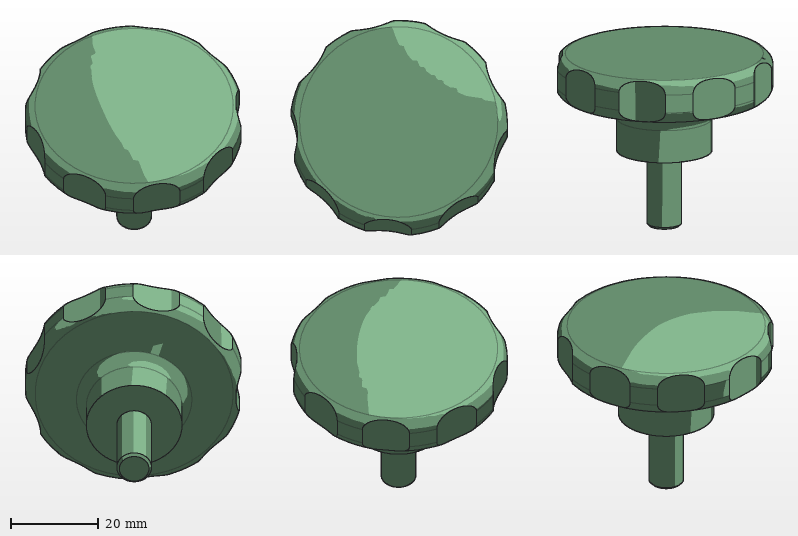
import cadquery as cq
import math

rim_radius = 25.0
total_head_height = 26.0
rim_band_bottom = 15.9
rim_band_top = 20.15
rim_fillet = 3.0
under_slope = math.radians(14.2)

fillet_center_radius = rim_radius - rim_fillet
dome_center_drop = total_head_height - rim_band_top - rim_fillet
dome_radius = (fillet_center_radius**2 / dome_center_drop + dome_center_drop) / 2 + rim_fillet
dome_center_z = total_head_height - dome_radius

hub_radius = 11.0
hub_fillet = 3.0

stud_diameter = 8.0
stud_length = 18.0
stud_chamfer = 0.6

scallop_count = 9
scallop_radius = 15.0
scallop_floor_radius = 23.37
first_scallop_angle = -90.0


def point_on_arc(center, radius, angle):
    """Point at the given angle (radians) on a circle in the radius/Z plane."""
    return (center[0] + radius * math.cos(angle), center[1] + radius * math.sin(angle))


def make_head():
    """Revolve the dome, rounded rim, sloped underside and hub."""
    dome_center = (0.0, dome_center_z)
    upper_center = (fillet_center_radius, rim_band_top)
    lower_center = (fillet_center_radius, rim_band_bottom)

    dome_edge_angle = math.atan2(rim_band_top - dome_center_z, fillet_center_radius)
    dome_edge = point_on_arc(upper_center, rim_fillet, dome_edge_angle)
    dome_middle = point_on_arc(dome_center, dome_radius, (dome_edge_angle + math.pi / 2) / 2)

    slope_angle = under_slope - math.pi / 2
    slope_start = point_on_arc(lower_center, rim_fillet, slope_angle)

    hub_fillet_center_radius = hub_radius + hub_fillet
    slope_end_radius = hub_fillet_center_radius + hub_fillet * math.cos(slope_angle + math.pi)
    slope_end_z = slope_start[1] - (slope_start[0] - slope_end_radius) * math.tan(under_slope)
    slope_end = (slope_end_radius, slope_end_z)
    hub_fillet_center = (
        hub_fillet_center_radius,
        slope_end_z - hub_fillet * math.sin(slope_angle + math.pi),
    )
    hub_fillet_middle_angle = (slope_angle + math.pi + math.pi) / 2

    profile = (
        cq.Workplane("XZ")
        .moveTo(0, 0)
        .lineTo(hub_radius, 0)
        .lineTo(hub_radius, hub_fillet_center[1])
        .threePointArc(point_on_arc(hub_fillet_center, hub_fillet, hub_fillet_middle_angle), slope_end)
        .lineTo(*slope_start)
        .threePointArc(point_on_arc(lower_center, rim_fillet, slope_angle / 2), (rim_radius, rim_band_bottom))
        .lineTo(rim_radius, rim_band_top)
        .threePointArc(point_on_arc(upper_center, rim_fillet, dome_edge_angle / 2), dome_edge)
        .threePointArc(dome_middle, (0, total_head_height))
        .close()
    )
    return profile.revolve(360, (0, 0, 0), (0, 1, 0))


def make_scallop_cutters():
    """Vertical cylinders spaced evenly around the rim."""
    return (
        cq.Workplane("XY")
        .polarArray(scallop_floor_radius + scallop_radius, first_scallop_angle, 360, scallop_count)
        .circle(scallop_radius)
        .extrude(total_head_height)
    )


def make_stud():
    """Stud hanging below the hub, with a chamfered tip."""
    return (
        cq.Workplane("XY")
        .circle(stud_diameter / 2)
        .extrude(-stud_length)
        .faces("<Z")
        .chamfer(stud_chamfer)
    )


result = make_head().cut(make_scallop_cutters()).union(make_stud())